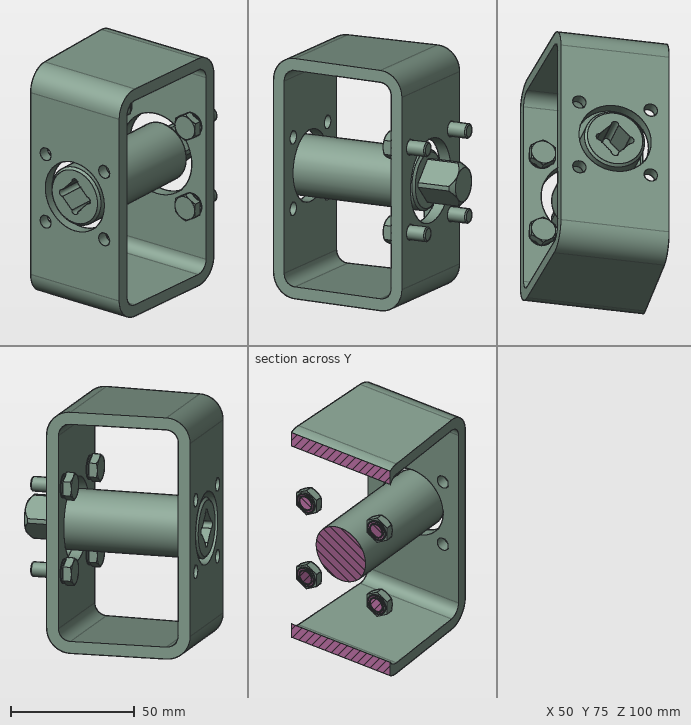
import cadquery as cq
import math

HEIGHT = 100.0
DEPTH = 60.0
WALL = 5.0
OUTER_RADIUS = 10.0
INNER_RADIUS = OUTER_RADIUS - WALL
BACK_WIDTH = 50.0
FRONT_WIDTH = 45.0

FRONT_BORE = 30.0
FRONT_PITCH_CIRCLE = 42.0
FRONT_HOLE = 5.5
BACK_BORE = 35.0
BACK_PITCH_CIRCLE = 50.0
BACK_HOLE = 6.5

SHAFT_DIAMETER = 25.0
SHAFT_CHAMFER = 1.0
SHAFT_END = 59.0
DRIVE_END = 75.0
DRIVE_SQUARE = 14.0
DRIVE_CORNER_DIAMETER = 18.0
DRIVE_CHAMFER = 2.0
SOCKET_SQUARE = 11.0
SOCKET_DEPTH = 15.0
RELIEF_DIAMETER = 3.0
RELIEF_CENTRE = 6.3

WASHER_BORE = 6.4
WASHER_DIAMETER = 10.0
WASHER_SHEET = 0.4
WASHER_HEIGHT = 0.8

BOLT_DIAMETER = 6.0
BOLT_LENGTH = 14.0
BOLT_TIP_CHAMFER = 0.5
HEAD_ACROSS_FLATS = 10.0
HEAD_HEIGHT = 4.0
COLLAR_DIAMETER = 8.9
COLLAR_HEIGHT = 0.4
HEAD_CHAMFER_ANGLE = 30.0

BACK_WALL_INSIDE = DEPTH - WALL
HEAD_SEAT = BACK_WALL_INSIDE - WASHER_HEIGHT


def rod(diameter, start, end):
    """Cylinder along Y between two Y positions."""
    return cq.Workplane("XZ", origin=(0, start, 0)).circle(diameter / 2).extrude(start - end)


def square_bar(side, start, end):
    """Square bar along Y, standing on one of its corners."""
    bar = cq.Workplane("XZ", origin=(0, start, 0)).rect(side, side).extrude(start - end)
    return bar.rotate((0, 0, 0), (0, 1, 0), 45)


def bolt_positions(pitch_circle):
    """Four X, Z places on a pitch circle, on the diagonals."""
    offset = pitch_circle / 2 * math.sqrt(0.5)
    return [(x, z) for x in (-offset, offset) for z in (-offset, offset)]


def rounded_block(depth, height, radius):
    """Block across the full width, with its four edges along X rounded."""
    profile = cq.Workplane("YZ").center(DEPTH / 2, 0).rect(depth, height)
    return profile.extrude(BACK_WIDTH / 2, both=True).edges("|X").fillet(radius)


def make_tube():
    """Rounded rectangular tube, trimmed at both ends so that it widens to the back."""
    outer = rounded_block(DEPTH, HEIGHT, OUTER_RADIUS)
    inner = rounded_block(DEPTH - 2 * WALL, HEIGHT - 2 * WALL, INNER_RADIUS)
    taper = (
        cq.Workplane("XY")
        .polyline([
            (-FRONT_WIDTH / 2, 0),
            (FRONT_WIDTH / 2, 0),
            (BACK_WIDTH / 2, DEPTH),
            (-BACK_WIDTH / 2, DEPTH),
        ])
        .close()
        .extrude(HEIGHT / 2, both=True)
    )
    return outer.cut(inner).intersect(taper)


def drill_wall(body, start, bore, hole, pitch_circle):
    """Cut the central bore and the four bolt holes through one wall."""
    end = start + WALL
    body = body.cut(rod(bore, start, end))
    for x, z in bolt_positions(pitch_circle):
        body = body.cut(rod(hole, start, end).translate((x, 0, z)))
    return body


def make_bracket():
    """Tube with the small bolt pattern in front and the large one at the back."""
    bracket = make_tube()
    bracket = drill_wall(bracket, 0, FRONT_BORE, FRONT_HOLE, FRONT_PITCH_CIRCLE)
    return drill_wall(bracket, BACK_WALL_INSIDE, BACK_BORE, BACK_HOLE, BACK_PITCH_CIRCLE)


def make_socket():
    """Square socket with a round relief in each corner."""
    socket = square_bar(SOCKET_SQUARE, 0, SOCKET_DEPTH)
    relief = rod(RELIEF_DIAMETER, 0, SOCKET_DEPTH).translate((RELIEF_CENTRE, 0, 0))
    for corner in range(4):
        socket = socket.union(relief.rotate((0, 0, 0), (0, 1, 0), 90 * corner))
    return socket


def make_shaft():
    """Round shaft with the drive and the socket, both standing on a corner."""
    body = rod(SHAFT_DIAMETER, 0, SHAFT_END).faces("<Y or >Y").chamfer(SHAFT_CHAMFER)
    envelope = rod(DRIVE_CORNER_DIAMETER, SOCKET_DEPTH, DRIVE_END).faces(">Y").chamfer(DRIVE_CHAMFER)
    drive = square_bar(DRIVE_SQUARE, SOCKET_DEPTH, DRIVE_END).intersect(envelope)
    return body.union(drive).cut(make_socket())


def make_washer(x, z):
    """Conical ring with its outer rim on the wall and its inner rim under the bolt head."""
    profile = [
        (WASHER_BORE / 2, HEAD_SEAT),
        (WASHER_BORE / 2, HEAD_SEAT + WASHER_SHEET),
        (WASHER_DIAMETER / 2, BACK_WALL_INSIDE),
        (WASHER_DIAMETER / 2, BACK_WALL_INSIDE - WASHER_SHEET),
    ]
    ring = cq.Workplane("XY").polyline(profile).close().revolve(360, (0, 0, 0), (0, 1, 0))
    return ring.translate((x, 0, z))


def make_head():
    """Hexagon head with a corner up, its free face chamfered down to the flats."""
    head_face = HEAD_SEAT - HEAD_HEIGHT
    hexagon_back = HEAD_SEAT - COLLAR_HEIGHT
    corner_diameter = HEAD_ACROSS_FLATS / math.cos(math.radians(30))
    hexagon = (
        cq.Workplane("XZ", origin=(0, head_face, 0))
        .polygon(6, corner_diameter)
        .extrude(head_face - hexagon_back)
        .rotate((0, 0, 0), (0, 1, 0), 30)
    )
    chamfer_width = (corner_diameter - HEAD_ACROSS_FLATS) / 2
    chamfer_height = chamfer_width * math.tan(math.radians(HEAD_CHAMFER_ANGLE))
    envelope = rod(corner_diameter, head_face, hexagon_back)
    envelope = envelope.faces("<Y").edges().chamfer(chamfer_height, chamfer_width)
    collar = rod(COLLAR_DIAMETER, hexagon_back, HEAD_SEAT)
    return hexagon.intersect(envelope).union(collar)


def make_bolt(x, z):
    """Bolt with its head inside the bracket and its shank out through the back wall."""
    shank = rod(BOLT_DIAMETER, HEAD_SEAT, HEAD_SEAT + BOLT_LENGTH).faces(">Y").chamfer(BOLT_TIP_CHAMFER)
    return make_head().union(shank).translate((x, 0, z))


bracket = make_bracket()
shaft = make_shaft()
washers = [make_washer(x, z) for x, z in bolt_positions(BACK_PITCH_CIRCLE)]
bolts = [make_bolt(x, z) for x, z in bolt_positions(BACK_PITCH_CIRCLE)]

result = cq.Compound.makeCompound(
    [body.val() for body in [bracket, shaft, *washers, *bolts]]
)